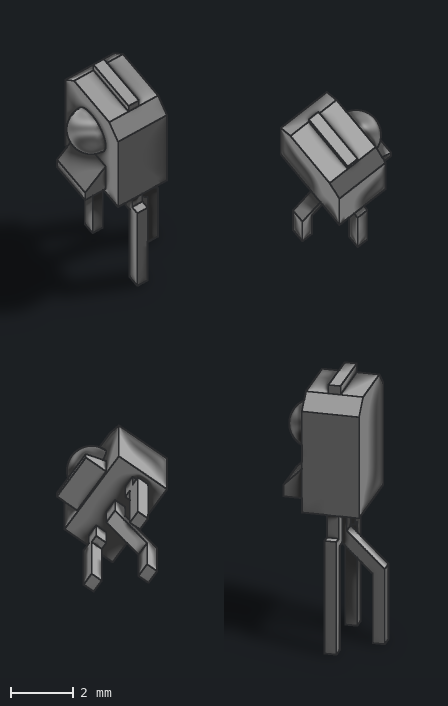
import cadquery as cq

body_width = 3.0
body_depth = 1.9
body_height = 4.0
corner_chamfer = 0.5
front_y = -body_depth / 2

lens_radius = 0.8
lens_z = 2.5
wedge_width = 2 * lens_radius
wedge_reach = 0.8
wedge_bottom_z = 0.2
wedge_lip_z = 0.6
wedge_top_z = wedge_lip_z + wedge_reach

sheet_thickness = 0.4
sheet_half = sheet_thickness / 2
tab_width = 2.0
tab_height = 0.3
lead_tip_z = -4.8
root_embed = 0.2

outer_root_inner_x = 0.8
outer_root_outer_x = 1.2
outer_tip_inner_x = 1.05
outer_tip_outer_x = body_width / 2
step_top_z = -0.9
step_bottom_z = -1.2

middle_width = 0.48
bend_offset = 1.26
bend_drop = 1.2
bend_front_z = -1.2
bend_back_z = -1.0


def make_body():
    block = cq.Workplane("XY").box(body_width, body_depth, body_height, centered=(True, True, False))
    return block.edges("|Y and >Z").chamfer(corner_chamfer)


def make_lens():
    return cq.Workplane("XY").sphere(lens_radius).translate((0, front_y, lens_z))


def make_wedge():
    tip_y = front_y - wedge_reach
    profile = [
        (front_y, wedge_bottom_z),
        (tip_y, wedge_bottom_z),
        (tip_y, wedge_lip_z),
        (front_y, wedge_top_z),
    ]
    return cq.Workplane("YZ").polyline(profile).close().extrude(wedge_width / 2, both=True)


def make_tab():
    tab = cq.Workplane("XY").box(tab_width, sheet_thickness, tab_height, centered=(True, True, False))
    return tab.translate((0, 0, body_height))


def make_outer_lead():
    """Stepped lead on the +X side."""
    profile = [
        (outer_root_inner_x, root_embed),
        (outer_root_outer_x, root_embed),
        (outer_root_outer_x, step_top_z),
        (outer_tip_outer_x, step_top_z),
        (outer_tip_outer_x, lead_tip_z),
        (outer_tip_inner_x, lead_tip_z),
        (outer_tip_inner_x, step_bottom_z),
        (outer_root_inner_x, step_bottom_z),
    ]
    return cq.Workplane("XZ").polyline(profile).close().extrude(sheet_half, both=True)


def make_middle_lead():
    profile = [
        (-sheet_half, root_embed),
        (-sheet_half, bend_front_z),
        (bend_offset - sheet_half, bend_front_z - bend_drop),
        (bend_offset - sheet_half, lead_tip_z),
        (bend_offset + sheet_half, lead_tip_z),
        (bend_offset + sheet_half, bend_back_z - bend_drop),
        (sheet_half, bend_back_z),
        (sheet_half, root_embed),
    ]
    return cq.Workplane("YZ").polyline(profile).close().extrude(middle_width / 2, both=True)


outer_lead = make_outer_lead()
result = (
    make_body()
    .union(make_lens())
    .union(make_wedge())
    .union(make_tab())
    .union(outer_lead)
    .union(outer_lead.mirror("YZ"))
    .union(make_middle_lead())
)